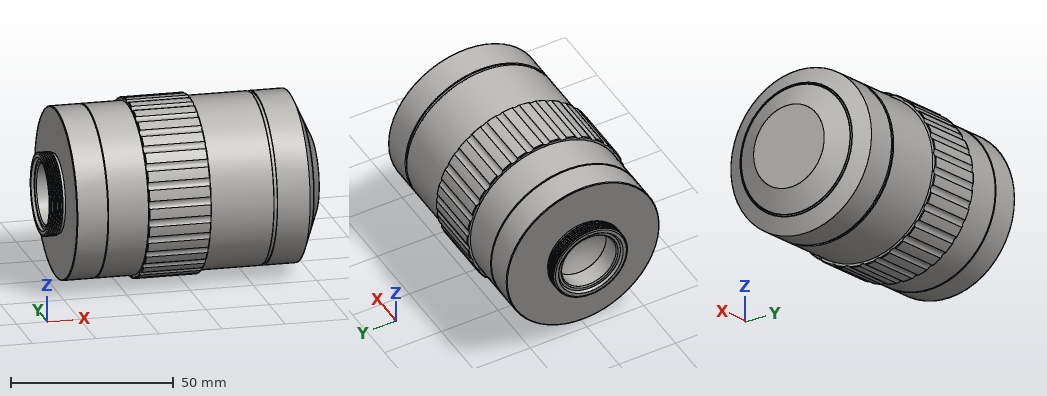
import cadquery as cq
import math

shoulder_x = 4.9
rear_joint_x = 15.0
grip_start = 27.5
grip_end = 47.3
groove_start = 67.3
groove_end = 68.4
cone_start = 78.7
nose_joint_x = 81.3
front_x = 85.0

body_radius = 26.95
front_face_radius = 13.5
groove_depth = 0.4
edge_chamfer = 0.25
joint_groove_width = 0.25
joint_groove_depth = 0.2

thread_radius = 13.0
thread_root_radius = 12.5
thread_pitch = 0.705
thread_turns = 6
thread_flat = 0.13
thread_flank = thread_pitch / 2 - thread_flat

recess_mouth_radius = 11.4
recess_floor_radius = 10.9
recess_depth = 0.85
bore_radius = 9.6
bore_chamfer = 0.4
lens_rim_x = 7.6
lens_slope_deg = 38.0
lens_sphere_radius = bore_radius / math.sin(math.radians(lens_slope_deg))
lens_apex_x = lens_rim_x + lens_sphere_radius * (1 - math.cos(math.radians(lens_slope_deg)))
lens_back_x = rear_joint_x

grip_diameter = 56.0
grip_radius = grip_diameter / 2
flute_count = 30
flute_pitch_deg = 360 / flute_count
flute_width = 2.5
flute_depth = 0.5

cone_slope = (body_radius - front_face_radius) / (front_x - cone_start)
nose_joint_radius = body_radius - cone_slope * (nose_joint_x - cone_start)
nose_land_x = nose_joint_x + joint_groove_width
nose_land_radius = nose_joint_radius - cone_slope * joint_groove_width


def revolve_about_x(profile):
    """Turn a closed XY profile about the X axis."""
    return profile.close().revolve(360, (0, 0, 0), (1, 0, 0))


def cylinder(start, end, radius):
    return cq.Workplane("YZ").workplane(offset=start).circle(radius).extrude(end - start)


def make_mount():
    """Rear flange with its threaded nose, recess and lens bore."""
    profile = cq.Workplane("XY").moveTo(0, 0).lineTo(0, thread_root_radius)
    for turn in range(thread_turns):
        root_x = turn * thread_pitch
        profile = (
            profile.lineTo(root_x + thread_flank, thread_radius)
            .lineTo(root_x + thread_flank + thread_flat, thread_radius)
            .lineTo(root_x + 2 * thread_flank + thread_flat, thread_root_radius)
            .lineTo(root_x + thread_pitch, thread_root_radius)
        )
    profile = (
        profile.lineTo(shoulder_x, thread_root_radius)
        .lineTo(shoulder_x, body_radius - edge_chamfer)
        .lineTo(shoulder_x + edge_chamfer, body_radius)
        .lineTo(rear_joint_x - joint_groove_width, body_radius)
        .lineTo(rear_joint_x - joint_groove_width, body_radius - joint_groove_depth)
        .lineTo(rear_joint_x, body_radius - joint_groove_depth)
        .lineTo(rear_joint_x, 0)
    )
    bore = revolve_about_x(
        cq.Workplane("XY")
        .moveTo(0, 0)
        .lineTo(0, recess_mouth_radius)
        .lineTo(recess_depth, recess_floor_radius)
        .lineTo(recess_depth, bore_radius + bore_chamfer)
        .lineTo(recess_depth + bore_chamfer, bore_radius)
        .lineTo(lens_back_x, bore_radius)
        .lineTo(lens_back_x, 0)
    )
    return revolve_about_x(profile).cut(bore)


def make_lens():
    """Lens with a concave spherical rear face, filling the bottom of the mount bore."""
    half_slope = math.radians(lens_slope_deg / 2)
    sphere_centre_x = lens_apex_x - lens_sphere_radius
    arc_middle = (
        sphere_centre_x + lens_sphere_radius * math.cos(half_slope),
        lens_sphere_radius * math.sin(half_slope),
    )
    return revolve_about_x(
        cq.Workplane("XY")
        .moveTo(lens_apex_x, 0)
        .threePointArc(arc_middle, (lens_rim_x, bore_radius))
        .lineTo(lens_back_x, bore_radius)
        .lineTo(lens_back_x, 0)
    )


def make_barrel():
    """Main barrel with the narrower neck that separates it from the front cap."""
    barrel = cylinder(rear_joint_x, groove_start, body_radius)
    return barrel.union(cylinder(groove_start, groove_end, body_radius - groove_depth))


def make_grip_ring():
    """Ring with concave flutes, centred between ridges on the Y axis."""
    ring = (
        cylinder(grip_start, grip_end, grip_radius)
        .faces("<X or >X").edges().chamfer(edge_chamfer)
        .cut(cylinder(grip_start, grip_end, body_radius))
    )
    flute_radius = (flute_width ** 2 / 4 + flute_depth ** 2) / (2 * flute_depth)
    flute_centre = math.sqrt(grip_radius ** 2 - flute_width ** 2 / 4) - flute_depth + flute_radius
    flutes = (
        cq.Workplane("YZ").workplane(offset=grip_start)
        .polarArray(flute_centre, flute_pitch_deg / 2, 360, flute_count)
        .circle(flute_radius).extrude(grip_end - grip_start)
    )
    return ring.cut(flutes)


def make_front_cap():
    """Front cap: a cylinder that starts the cone."""
    return revolve_about_x(
        cq.Workplane("XY")
        .moveTo(groove_end, 0)
        .lineTo(groove_end, body_radius)
        .lineTo(cone_start, body_radius)
        .lineTo(nose_joint_x, nose_joint_radius)
        .lineTo(nose_joint_x, 0)
    )


def make_nose():
    """Conical front piece that ends in the flat front face."""
    return revolve_about_x(
        cq.Workplane("XY")
        .moveTo(nose_joint_x, 0)
        .lineTo(nose_joint_x, nose_joint_radius - joint_groove_depth)
        .lineTo(nose_land_x, nose_land_radius - joint_groove_depth)
        .lineTo(nose_land_x, nose_land_radius)
        .lineTo(front_x, front_face_radius)
        .lineTo(front_x, 0)
    )


mount = make_mount()
lens = make_lens()
barrel = make_barrel()
grip_ring = make_grip_ring()
front_cap = make_front_cap()
nose = make_nose()

result = cq.Compound.makeCompound(
    [mount.val(), lens.val(), barrel.val(), grip_ring.val(), front_cap.val(), nose.val()]
)